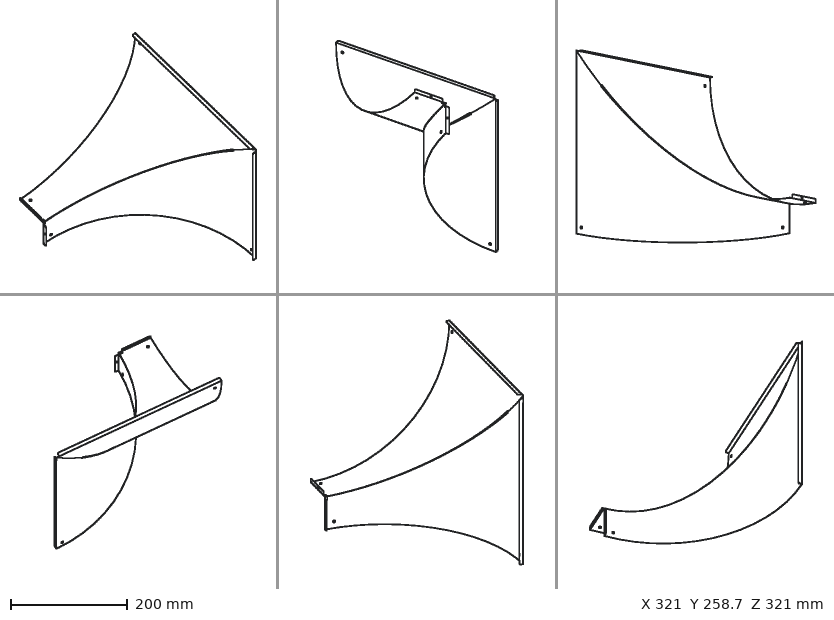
import cadquery as cq

size = 321.0
outer_radius = 258.7
thickness = 0.5
flange_height = 7.5
corner_radius = 3.0
flange_end_gap = 5.8
flange_hole_diameter = 3.0
flange_hole_offset = 32.7
sheet_hole_diameter = 4.0
hole_side_distance = 12.5
upper_hole_front = 13.5
upper_hole_back = 16.7
lower_hole_front = 16.7
lower_hole_back = 12.0
recess_length = 4.0

inner_radius = outer_radius - thickness
step = size - outer_radius
front_flange_length = step - flange_end_gap
top_flange_length = size - flange_end_gap
recess_depth = thickness / 2


def cylinder_along_x(radius):
    """Full-width cylinder about the front top edge."""
    return cq.Workplane("YZ", origin=(0, 0, size)).circle(radius).extrude(size)


def curved_sheet():
    """Quarter-round sheet, trimmed where it meets the mating sheet's convex face."""
    quarter = cq.Workplane("XY").box(size, outer_radius, size, centered=False)
    shell = cylinder_along_x(outer_radius).cut(cylinder_along_x(inner_radius)).intersect(quarter)
    mating_envelope = cq.Workplane("XY", origin=(size, 0, 0)).circle(outer_radius).extrude(size)
    return shell.cut(mating_envelope)


def flange(length):
    """Flat strip in XY with both free corners rounded."""
    strip = cq.Workplane("XY").box(length, flange_height, thickness, centered=False)
    return strip.edges("|Z and >Y").fillet(corner_radius)


def front_flange():
    """Upright strip along the front edge, with a hole in it."""
    strip = flange(front_flange_length)
    strip = strip.faces(">Z").workplane(origin=(flange_hole_offset, flange_height / 2, 0))
    strip = strip.hole(flange_hole_diameter)
    return strip.rotate((0, 0, 0), (1, 0, 0), 90).translate((0, thickness, step))


def top_flange():
    """Level strip along the top edge, pointing forward."""
    strip = flange(top_flange_length).mirror("XZ")
    return strip.translate((0, outer_radius, size - thickness))


def sheet_holes(front_distance, back_distance):
    """Cutters for the two fixing holes beside the open side edge."""
    radius = sheet_hole_diameter / 2
    front = cq.Workplane("XY").center(hole_side_distance, front_distance).circle(radius)
    back = cq.Workplane("XZ").center(hole_side_distance, size - back_distance).circle(radius)
    return front.extrude(size / 2).union(back.extrude(-size))


def corner_recess():
    """Cutter for the shallow step in the inner face beside the front flange."""
    block = cq.Workplane("XY").box(flange_end_gap, recess_length, step, centered=False)
    block = block.translate((front_flange_length, 0, step))
    return block.intersect(cylinder_along_x(inner_radius + recess_depth))


def panel(front_distance, back_distance):
    """Panel in the upper position: curved sheet, two flanges, holes and recess."""
    body = curved_sheet().union(front_flange()).union(top_flange())
    return body.cut(sheet_holes(front_distance, back_distance)).cut(corner_recess())


def swap_x_and_z(body):
    """Mirror a body in the diagonal plane X = Z."""
    return body.rotate((0, 0, 0), (0, 1, 0), 90).mirror("XY")


upper_panel = panel(upper_hole_front, upper_hole_back)
lower_panel = swap_x_and_z(panel(lower_hole_front, lower_hole_back))
result = cq.Compound.makeCompound([upper_panel.solids().val(), lower_panel.solids().val()])